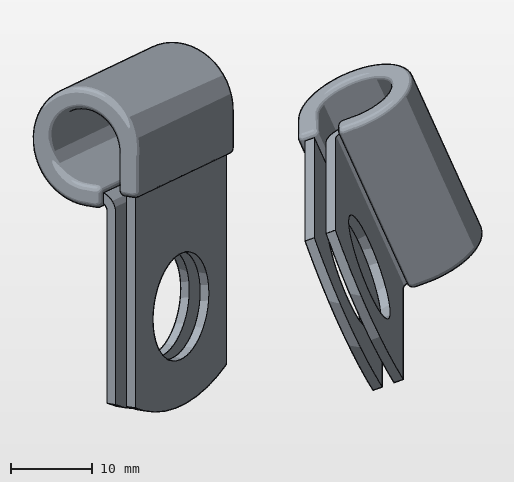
import cadquery as cq
import math

cushion_radius = 7.55
cushion_thickness = 2.8
cushion_width = 23.8
edge_radius = 0.75
long_leg = 5.52
short_leg = 2.25

strap_thickness = 1.25
strap_width = 22.2
bend_outer_radius = 2.4
short_leg_tab_outer_x = 4.0
total_height = 42.5
tip_rise = 2.55

hole_diameter = 13.5
hole_above_tip = 12.7

mid_radius = cushion_radius - cushion_thickness / 2
bend_radius = bend_outer_radius - strap_thickness / 2
tab_x = short_leg_tab_outer_x - strap_thickness / 2
tip_z = cushion_radius - total_height
tip_corner_z = tip_z + tip_rise
diagonal = math.sqrt(0.5)


def curl(outline, radius):
    """Three-quarter arc from the +X side, over the top, to the bottom."""
    arc_middle = (-radius * diagonal, radius * diagonal)
    return outline.threePointArc(arc_middle, (0, -radius))


def make_cushion():
    inner_radius = cushion_radius - cushion_thickness
    outline = cq.Workplane("XZ").moveTo(cushion_radius, -long_leg).lineTo(cushion_radius, 0)
    outline = curl(outline, cushion_radius)
    outline = (
        outline.lineTo(short_leg, -cushion_radius)
        .lineTo(short_leg, -inner_radius)
        .lineTo(0, -inner_radius)
        .threePointArc((-inner_radius * diagonal, inner_radius * diagonal), (inner_radius, 0))
        .lineTo(inner_radius, -long_leg)
        .close()
    )
    cushion = outline.extrude(cushion_width / 2, both=True)
    return cushion.edges("|Y or <Y or >Y").fillet(edge_radius)


def make_strap():
    bend_x = tab_x - bend_radius
    bend_z = -mid_radius - bend_radius
    path = cq.Workplane("XZ").moveTo(mid_radius, tip_z).lineTo(mid_radius, 0)
    path = curl(path, mid_radius)
    path = (
        path.lineTo(bend_x, -mid_radius)
        .threePointArc(
            (bend_x + bend_radius * diagonal, bend_z + bend_radius * diagonal),
            (tab_x, bend_z),
        )
        .lineTo(tab_x, tip_z)
    )
    section = cq.Workplane("XY", origin=(mid_radius, 0, tip_z)).rect(strap_thickness, strap_width)
    return section.sweep(path)


def make_tab_profile():
    """Side silhouette with the arched tip, spanning the whole part along X."""
    half_width = strap_width / 2
    return (
        cq.Workplane("YZ")
        .moveTo(-half_width, cushion_radius)
        .lineTo(-half_width, tip_corner_z)
        .threePointArc((0, tip_z), (half_width, tip_corner_z))
        .lineTo(half_width, cushion_radius)
        .close()
        .extrude(cushion_radius, both=True)
    )


def make_hole():
    return (
        cq.Workplane("YZ")
        .center(0, tip_z + hole_above_tip)
        .circle(hole_diameter / 2)
        .extrude(cushion_radius, both=True)
    )


strap = make_strap().intersect(make_tab_profile()).cut(make_hole())
result = make_cushion().union(strap)